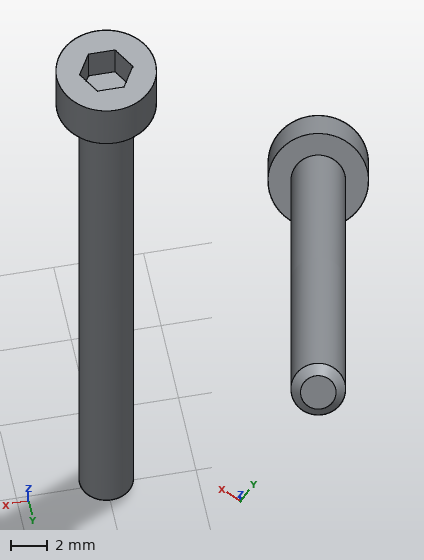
import cadquery as cq
import math

thread_diameter = 3.0
shank_length = 35.0
thread_length = 18.0
plain_length = shank_length - thread_length
head_diameter = 5.5
head_height = thread_diameter
tip_chamfer = 0.53

socket_sides = 6
socket_across_flats = 2.56
socket_across_corners = socket_across_flats / math.cos(math.pi / socket_sides)
socket_depth = 2.0


def make_head():
    return cq.Workplane("XY").circle(head_diameter / 2).extrude(head_height)


def make_plain_shank():
    return cq.Workplane("XY").circle(thread_diameter / 2).extrude(-plain_length)


def make_threaded_shank():
    """Threaded length, modelled as a plain cylinder with a chamfered tip."""
    return (
        cq.Workplane("XY", origin=(0, 0, -shank_length))
        .circle(thread_diameter / 2)
        .extrude(thread_length)
        .faces("<Z")
        .chamfer(tip_chamfer)
    )


def make_socket():
    """Hexagonal key socket with two corners on the X axis."""
    return (
        cq.Workplane("XY", origin=(0, 0, head_height))
        .polygon(socket_sides, socket_across_corners)
        .extrude(-socket_depth)
    )


screw = make_head().union(make_plain_shank()).union(make_threaded_shank(), clean=False)
result = screw.cut(make_socket(), clean=False)